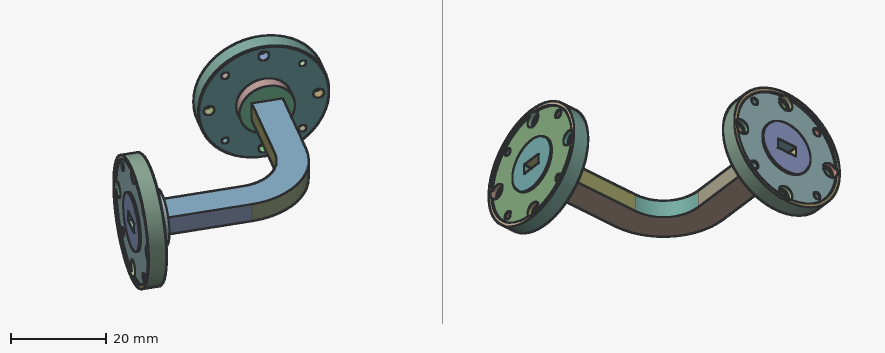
import cadquery as cq
import math

overall_length = 52.4
flange_diameter = 28.55
flange_radius = flange_diameter / 2
face_distance = overall_length - flange_radius

tube_width = 6.75
tube_height = 4.4
bore_width = 4.75
bore_height = 2.4
bend_radius = 12.75

flange_thickness = 4.0
back_chamfer = 0.2
hub_diameter = 12.05
hub_end = 6.7

recess_outer_diameter = 26.75
recess_inner_diameter = 12.7
recess_depth = 0.4

hole_circle_radius = 11.9
screw_hole_diameter = 2.3
counterbore_diameter = 3.5
counterbore_depth = 1.55
large_pin_diameter = 1.7
small_pin_diameter = 1.45
pin_hole_chamfer = 0.15
pin_chamfer_angle = 45


def bent_bar(width, height, straight_lead):
    """Rectangular bar round the bend to the front mating face, with a straight lead along X."""
    path = cq.Workplane("XY").moveTo(-bend_radius - straight_lead, 0)
    if straight_lead > 0:
        path = path.lineTo(-bend_radius, 0)
    path = path.radiusArc((0, -bend_radius), bend_radius).lineTo(0, -face_distance)
    start = cq.Workplane("YZ", origin=(-bend_radius - straight_lead, 0, 0))
    return start.rect(width, height).sweep(path)


def cylinders(points, diameter, depth):
    """Round cutters going down into the flange from its mating face."""
    return cq.Workplane("XY").pushPoints(points).circle(diameter / 2).extrude(-depth)


def pin_holes(points, diameter):
    """Cutters for through holes whose mouth is chamfered at the recess floor."""
    mouth_diameter = diameter + 2 * pin_hole_chamfer
    mouths = (
        cq.Workplane("XY", origin=(0, 0, -recess_depth))
        .pushPoints(points)
        .circle(mouth_diameter / 2)
        .extrude(-pin_hole_chamfer, taper=pin_chamfer_angle)
    )
    return cylinders(points, diameter, flange_thickness).union(mouths)


def on_hole_circle(angles):
    """Points on the hole circle at the given angles in degrees."""
    return [
        (
            hole_circle_radius * math.cos(math.radians(angle)),
            hole_circle_radius * math.sin(math.radians(angle)),
        )
        for angle in angles
    ]


def make_flange():
    """Flange with its mating face on Z = 0 and its hub toward -Z."""
    disc = cq.Workplane("XY").circle(flange_radius).extrude(-flange_thickness)
    disc = disc.faces("<Z").edges().chamfer(back_chamfer)
    hub = cq.Workplane("XY").circle(hub_diameter / 2).extrude(-hub_end)
    recess = (
        cq.Workplane("XY")
        .circle(recess_outer_diameter / 2)
        .circle(recess_inner_diameter / 2)
        .extrude(-recess_depth)
    )
    screw_points = on_hole_circle([0, 90, 180, 270])
    return (
        disc.union(hub)
        .cut(recess)
        .cut(cylinders(screw_points, screw_hole_diameter, flange_thickness))
        .cut(cylinders(screw_points, counterbore_diameter, counterbore_depth))
        .cut(pin_holes(on_hole_circle([45, 225]), large_pin_diameter))
        .cut(pin_holes(on_hole_circle([135, 315]), small_pin_diameter))
    )


def place_flange(outward, across):
    """Flange with its mating face pointing outward and its local X along across."""
    origin = tuple(face_distance * component for component in outward)
    plane = cq.Plane(origin=origin, xDir=across, normal=outward)
    return cq.Workplane(make_flange().val().located(cq.Location(plane)))


front_flange = place_flange((0, -1, 0), (1, 0, 0))
side_flange = place_flange((-1, 0, 0), (0, -1, 0))

tube = bent_bar(tube_width, tube_height, face_distance - bend_radius)

front_bore = bent_bar(bore_width, bore_height, 0)
side_bore = (
    cq.Workplane("YZ", origin=(-face_distance, 0, 0)).rect(bore_width, bore_height).extrude(hub_end)
)

result = tube.union(front_flange).union(side_flange).cut(front_bore).cut(side_bore)